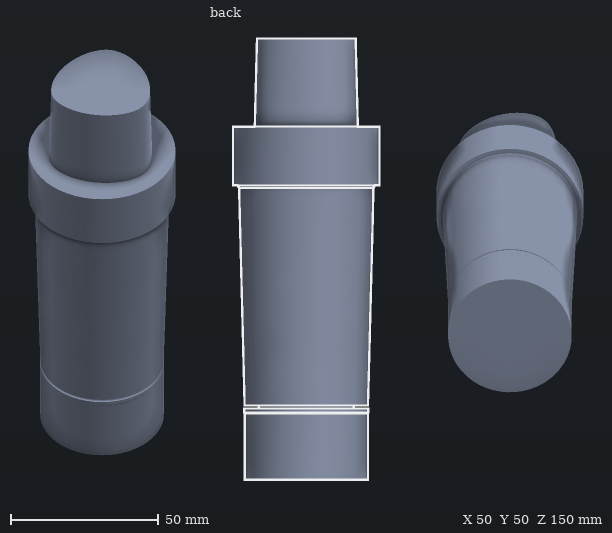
import cadquery as cq
import math

total_height = 150.0
flange_top = 120.0
flange_bottom = 100.0
collar_bottom = 99.2
groove_top = 25.2
groove_bottom = 24.3
pilot_top = 22.5
pilot_step_height = 0.5

flange_diameter = 50.0
collar_diameter = 46.8
cone_top_diameter = 45.8
cone_bottom_diameter = 42.0
lip_diameter = 42.3
groove_diameter = 32.4
pilot_diameter = 42.0

shank_base_width = 35.1
shank_taper = 1 / 20
shank_height = total_height - flange_top
shank_top_width = shank_base_width - shank_taper * shank_height
lobe_height = 1.0
lobe_count = 3
outline_steps = 36
lobe_direction = math.radians(-90)


def make_turned_body():
    """Revolve the flange, tapered body, groove, lip and bottom pilot about Z."""
    lip_radius = lip_diameter / 2

    profile = (
        cq.Workplane("XZ")
        .lineTo(pilot_diameter / 2, 0)
        .lineTo(pilot_diameter / 2, pilot_top)
        .lineTo(lip_radius, pilot_top + pilot_step_height)
        .lineTo(lip_radius, groove_bottom)
        .lineTo(groove_diameter / 2, groove_bottom)
        .lineTo(groove_diameter / 2, groove_top)
        .lineTo(cone_bottom_diameter / 2, groove_top)
        .lineTo(cone_top_diameter / 2, collar_bottom)
        .lineTo(collar_diameter / 2, flange_bottom)
        .lineTo(flange_diameter / 2, flange_bottom)
        .lineTo(flange_diameter / 2, flange_top)
        .lineTo(0, flange_top)
        .close()
    )
    return profile.revolve(360, (0, 0), (0, 1))


def lobed_point(width, turn):
    """Point on a constant-width lobed curve; turn runs from 0 to 1."""
    angle = 2 * math.pi * turn
    normal = angle + lobe_direction
    support = width / 2 + lobe_height * math.cos(lobe_count * angle)
    support_rate = -lobe_count * lobe_height * math.sin(lobe_count * angle)
    x = support * math.cos(normal) - support_rate * math.sin(normal)
    y = support * math.sin(normal) + support_rate * math.cos(normal)
    return x, y


def lobed_outline(width):
    """Points around one lobed section, for a closed smooth curve."""
    return [lobed_point(width, step / outline_steps) for step in range(outline_steps)]


def make_shank():
    """Loft the lobed shank from the flange up to its narrower end."""
    return (
        cq.Workplane("XY")
        .workplane(offset=flange_top)
        .spline(lobed_outline(shank_base_width), periodic=True)
        .wire()
        .workplane(offset=shank_height)
        .spline(lobed_outline(shank_top_width), periodic=True)
        .wire()
        .loft(ruled=True)
    )


result = make_turned_body().union(make_shank())